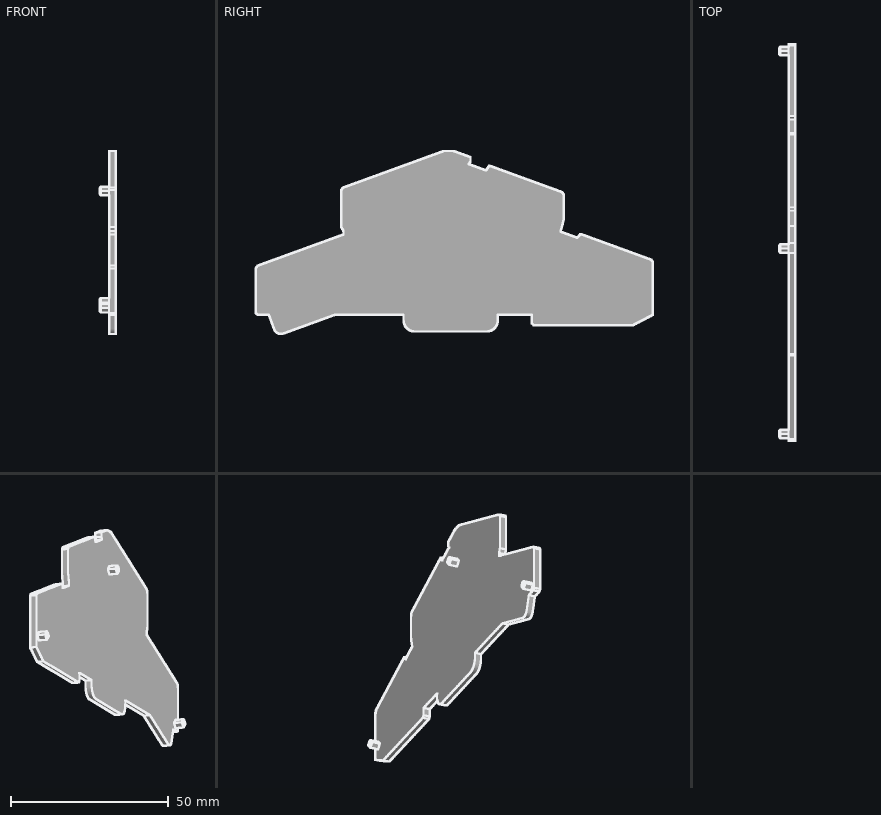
import cadquery as cq
import math

LENGTH = 125.8
HEIGHT = 58.0
WIDTH = 5.2
PLATE_THICKNESS = 2.1
PIN_LENGTH = WIDTH - PLATE_THICKNESS
SLOPE = math.tan(math.radians(20))

BASE_Z = 6.0
FAR_SHOULDER_Z = 23.4
FAR_CATCH = 22.9
FAR_STEP = 29.2
FAR_STEP_Z = 32.5
TOWER_START = 28.2
TOWER_WAIST_Z = 36.2
TOWER_CORNER_Z = 44.8
TOWER_CATCH = 51.8
RIDGE_STEP = 58.2
RIDGE_STEP_Z = 53.8
RIDGE_EDGE = 57.7
RIDGE_EDGE_RISE = 0.8
CREST_START = 63.0
CREST_END = 66.3
TOWER_END = 98.8
NEAR_WAIST_Z = 34.0
UNDERCUT = 0.8
UNDERCUT_DROP = 1.4
NEAR_STEP_Z = 31.6
CATCH_RUN = 1.0

HOOK_START = 100.8
HOOK_END = 121.6
HOOK_RADIUS = 2.4
FOOT_START = 49.0
FOOT_END = 79.0
FOOT_Z = 0.8
FOOT_RADIUS = 3.6
SKIRT_END = 38.4
SKIRT_Z = 2.8
SKIRT_BEVEL = 6.3
CORNER_BEVEL = 0.6
FAR_SHOULDER_BEVEL = 0.5

PIN_HALF_DIAGONAL = 1.4
PIN_CHAMFER = 0.4
PIN_CENTRES = [(2.3, 10.1), (64.8, 45.3), (123.5, 8.2)]

MID = LENGTH / 2
hook_drop = SLOPE * (HOOK_END - HOOK_START) / (1 + SLOPE**2)
hook_tip = (HOOK_END - SLOPE * hook_drop, BASE_Z - hook_drop)


def on_slope(distance, start, start_z, direction=1):
    """Point on a 20 degree edge that rises (1) or falls (-1) from its start."""
    return (distance, start_z + direction * SLOPE * (distance - start))


outline = [
    (0, BASE_Z),
    (0, FAR_SHOULDER_Z),
    on_slope(FAR_CATCH, 0, FAR_SHOULDER_Z),
    on_slope(FAR_CATCH + CATCH_RUN, FAR_STEP, FAR_STEP_Z),
    (FAR_STEP, FAR_STEP_Z),
    (TOWER_START, TOWER_WAIST_Z),
    (TOWER_START, TOWER_CORNER_Z),
    on_slope(TOWER_CATCH, TOWER_START, TOWER_CORNER_Z),
    on_slope(TOWER_CATCH + CATCH_RUN, RIDGE_STEP, RIDGE_STEP_Z),
    (RIDGE_STEP, RIDGE_STEP_Z),
    (RIDGE_EDGE, RIDGE_STEP_Z + RIDGE_EDGE_RISE),
    on_slope(RIDGE_EDGE, CREST_START, HEIGHT),
    (CREST_START, HEIGHT),
    (CREST_END, HEIGHT),
    on_slope(TOWER_END, CREST_END, HEIGHT, -1),
    (TOWER_END, NEAR_WAIST_Z),
    (TOWER_END - UNDERCUT, NEAR_WAIST_Z - UNDERCUT_DROP),
    (TOWER_END - UNDERCUT, NEAR_STEP_Z),
    on_slope(LENGTH, TOWER_END - UNDERCUT, NEAR_STEP_Z, -1),
    (LENGTH, BASE_Z),
    (HOOK_END, BASE_Z),
    hook_tip,
    (HOOK_START, BASE_Z),
    (FOOT_END, BASE_Z),
    (FOOT_END, FOOT_Z),
    (FOOT_START, FOOT_Z),
    (FOOT_START, BASE_Z),
    (SKIRT_END, BASE_Z),
    (SKIRT_END, SKIRT_Z),
    (SKIRT_BEVEL, SKIRT_Z),
]


def corner_edge(plate, corner):
    """Select the plate edge that runs along X through an outline corner."""
    point = (PLATE_THICKNESS / 2, MID - corner[0], corner[1])
    return plate.edges(cq.selectors.NearestToPointSelector(point))


def make_plate():
    points = [(MID - distance, z) for distance, z in outline]
    plate = cq.Workplane("YZ").polyline(points).close().extrude(PLATE_THICKNESS)
    plate = corner_edge(plate, hook_tip).fillet(HOOK_RADIUS)
    for foot_corner in [(FOOT_START, FOOT_Z), (FOOT_END, FOOT_Z)]:
        plate = corner_edge(plate, foot_corner).fillet(FOOT_RADIUS)
    bevelled_corners = [
        (TOWER_START, TOWER_CORNER_Z),
        on_slope(TOWER_END, CREST_END, HEIGHT, -1),
        on_slope(LENGTH, TOWER_END - UNDERCUT, NEAR_STEP_Z, -1),
        (SKIRT_END, SKIRT_Z),
        (LENGTH, BASE_Z),
    ]
    for corner in bevelled_corners:
        plate = corner_edge(plate, corner).chamfer(CORNER_BEVEL)
    return corner_edge(plate, (0, FAR_SHOULDER_Z)).chamfer(FAR_SHOULDER_BEVEL)


def make_pins():
    centres = [(MID - distance, z) for distance, z in PIN_CENTRES]
    pins = cq.Workplane("YZ").pushPoints(centres)
    pins = pins.polygon(4, 2 * PIN_HALF_DIAGONAL).extrude(-PIN_LENGTH)
    return pins.faces("<X").chamfer(PIN_CHAMFER)


result = make_plate().union(make_pins())